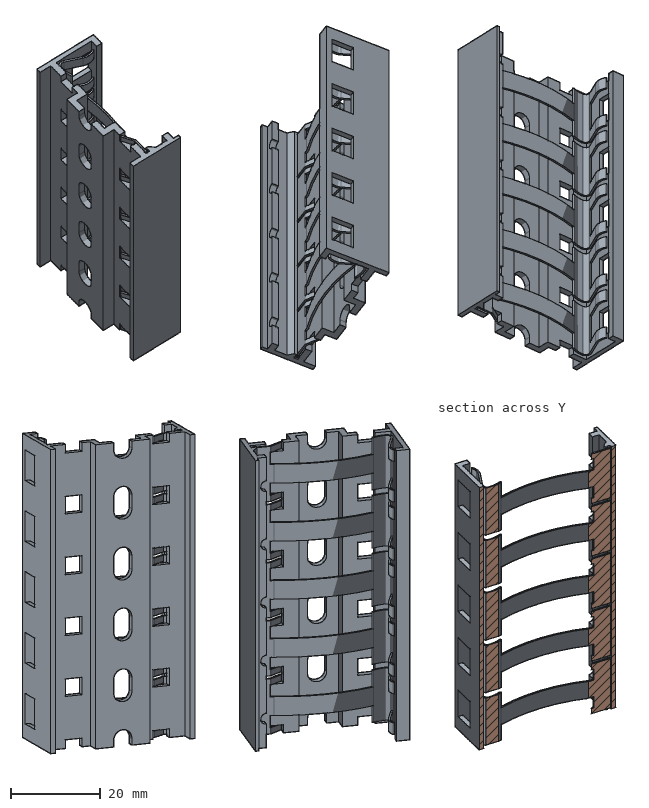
import cadquery as cq
import math

rail_width = 35.0
rail_depth = 16.0
rail_length = 70.0
wall = 1.2
web = 1.6
floor_y = 3.0
floor_top = floor_y + web
mid_x = rail_width / 2
channel_width = 10.0

left_lip_x = 3.1
left_lip_bottom = 14.5
right_top = 13.4
right_lip_top = 12.0
right_lip_reach = 2.9
right_rim = 0.8
foot_reach = 2.4
foot_top = 7.3

pitch = 14.0
units = round(rail_length / pitch)
slot_width = 4.4
slot_length = 7.5
square_hole = 4.0
square_offset = 10.6
window_length = 7.0
window_bottom = 9.1
window_top = left_lip_bottom
notch_radius = 1.3

sheet = 0.45
seat_y = floor_top + sheet / 2
base_length = 12.6
base_middle = (4.1, 4.95)
base_end = (5.68, 5.4)
bend_radius = 1.2
finger_angle = math.radians(67)
finger_straight = 4.35
finger_crest = (3.49, 12.07)
finger_tip = (3.08, 13.46)
arch_length = 4.5
arch_peak = (16.9, 6.87)
plate_length = 13.3
plate_y = 5.02
plate_start = 29.3
arch_end = (28.4, plate_y)
plate_end = 33.5
tab_length = 1.5
tab_tip = (26.45, 3.35)
groove_x = 33.1
groove_half_height = 0.5

right_inner = rail_width - wall
foot_x = rail_width - foot_reach
foot_underside = plate_y + sheet / 2


def box(x0, x1, y0, y1, z0, z1):
    return cq.Workplane("XY").box(x1 - x0, y1 - y0, z1 - z0, centered=False).translate((x0, y0, z0))


def make_rail():
    inner_left = mid_x - channel_width / 2
    inner_right = mid_x + channel_width / 2
    outer_left = inner_left - web
    outer_right = inner_right + web
    lip_x = rail_width - right_lip_reach
    rim_x = rail_width - right_rim
    right_lip_bottom = right_lip_top - web
    outline = [
        (0, 0),
        (wall, 0),
        (wall, floor_y),
        (outer_left, floor_y),
        (outer_left, 0),
        (outer_right, 0),
        (outer_right, floor_y),
        (right_inner, floor_y),
        (right_inner, 0),
        (rail_width, 0),
        (rail_width, right_top),
        (rim_x, right_top),
        (rim_x, right_lip_top),
        (lip_x, right_lip_top),
        (lip_x, right_lip_bottom),
        (right_inner, right_lip_bottom),
        (right_inner, foot_top),
        (foot_x, foot_top - (right_inner - foot_x)),
        (foot_x, foot_underside),
        (right_inner, foot_underside),
        (right_inner, floor_top),
        (inner_right, floor_top),
        (inner_right, web),
        (inner_left, web),
        (inner_left, floor_top),
        (wall, floor_top),
        (wall, left_lip_bottom),
        (left_lip_x, left_lip_bottom),
        (left_lip_x, rail_depth),
        (0, rail_depth),
    ]
    rail = cq.Workplane("XY").polyline(outline).close().extrude(rail_length)
    groove_bottom = plate_y - groove_half_height
    groove_top = plate_y + groove_half_height
    groove = box(groove_x, right_inner, groove_bottom, groove_top, 0, rail_length)
    return rail.cut(groove)


def cut_floor_openings(rail, z):
    slot = (
        cq.Workplane("XZ", origin=(mid_x, 0, z))
        .slot2D(slot_length, slot_width, 90)
        .extrude(-web)
    )
    rail = rail.cut(slot)
    half = square_hole / 2
    for x in (mid_x - square_offset, mid_x + square_offset):
        rail = rail.cut(box(x - half, x + half, floor_y, floor_top, z - half, z + half))
    return rail


def cut_wall_openings(rail, z):
    half = window_length / 2
    rail = rail.cut(box(0, wall, window_bottom, window_top, z - half, z + half))
    notch = (
        cq.Workplane("XZ", origin=(rail_width - right_lip_reach, right_lip_top - web, z))
        .circle(notch_radius)
        .extrude(-web)
    )
    return rail.cut(notch)


def strip(path, length, z):
    """Sheet of the given length along Z, centred on z, following a path in XY."""
    outline = path.wire().offset2D(sheet / 2)
    return outline.extrude(length).translate((0, 0, z - length / 2))


def make_spring(z):
    bend_x = wall + sheet / 2 + bend_radius
    bend_y = seat_y + bend_radius
    up = (math.cos(finger_angle), math.sin(finger_angle))
    finger_root = (bend_x - bend_radius * up[1], bend_y + bend_radius * up[0])
    finger_bend = (finger_root[0] + finger_straight * up[0], finger_root[1] + finger_straight * up[1])

    bend_chord = bend_radius * math.cos(math.pi / 4)
    finger_path = (
        cq.Workplane("XY")
        .moveTo(*finger_tip)
        .threePointArc(finger_crest, finger_bend)
        .lineTo(*finger_root)
        .threePointArc((bend_x - bend_chord, bend_y - bend_chord), (bend_x, seat_y))
        .threePointArc(base_middle, base_end)
    )
    spring = strip(finger_path, base_length, z)

    half_window = window_length / 2
    spring = spring.cut(box(0, mid_x, finger_root[1], rail_depth, z - half_window, z + half_window))

    plate_path = cq.Workplane("XY").moveTo(*tab_tip).lineTo(plate_start, plate_y).lineTo(plate_end, plate_y)
    plate = strip(plate_path, plate_length, z)
    half_gap = plate_length / 2 - tab_length
    plate = plate.cut(box(mid_x, plate_start, floor_y, foot_top, z - half_gap, z + half_gap))

    arch_path = (
        cq.Workplane("XY")
        .moveTo(*base_end)
        .threePointArc(arch_peak, arch_end)
        .lineTo(plate_end, plate_y)
    )
    return spring.union(strip(arch_path, arch_length, z)).union(plate)


result = make_rail()
for i in range(units + 1):
    result = cut_floor_openings(result, i * pitch)
for i in range(units):
    unit_z = (i + 0.5) * pitch
    result = cut_wall_openings(result, unit_z)
    result = result.union(make_spring(unit_z))